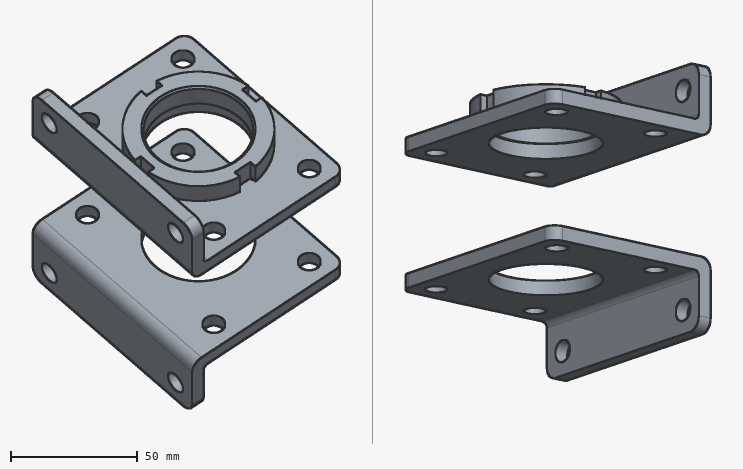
import cadquery as cq

width = 96.0
plate_depth = 80.0
flange_height = 30.0
thickness = 6.0
total_height = 110.0
bend_outer_radius = 5.0
bend_inner_radius = 2.2
plate_corner_radius = 5.0
flange_corner_radius = 5.5

bolt_diameter = 9.0
bolt_spacing_x = 76.0
plate_bolt_front_y = 20.0
plate_bolt_back_y = 70.0
flange_bolt_edge_distance = 10.0
bore_center_y = (plate_bolt_front_y + plate_bolt_back_y) / 2
plate_bore_diameter = 45.1

ring_diameter = 60.1
ring_bore_diameter = 43.3
ring_height = 9.7
bore_chamfer = (plate_bore_diameter - ring_bore_diameter) / 2
foot_diameter = 56.0
foot_height = 0.8
slot_width = 8.0
slot_floor_distance = 26.6
slot_count = 4

plate_underside_z = total_height / 2 - flange_height
plate_top_z = plate_underside_z + thickness


def make_bracket():
    """Upper bracket: front face on Y = 0, flange rising from the plate."""
    bracket = (
        cq.Workplane("YZ")
        .polyline([
            (0, 0),
            (plate_depth, 0),
            (plate_depth, thickness),
            (thickness, thickness),
            (thickness, flange_height),
            (0, flange_height),
        ])
        .close()
        .extrude(width / 2, both=True)
    )

    bracket = bracket.edges("|X and <Y and <Z").fillet(bend_outer_radius)
    inner_bend = cq.selectors.NearestToPointSelector((0, thickness, thickness))
    bracket = bracket.edges(inner_bend).fillet(bend_inner_radius)

    bracket = bracket.edges("|Z and >Y").fillet(plate_corner_radius)
    bracket = bracket.edges("|Y and >Z").fillet(flange_corner_radius)

    bolt_x = bolt_spacing_x / 2
    plate_bolts = (
        cq.Workplane("XY")
        .pushPoints([(x, y) for x in (-bolt_x, bolt_x) for y in (plate_bolt_front_y, plate_bolt_back_y)])
        .circle(bolt_diameter / 2)
        .extrude(thickness)
    )
    plate_bore = (
        cq.Workplane("XY")
        .center(0, bore_center_y)
        .circle(plate_bore_diameter / 2)
        .extrude(thickness)
    )
    flange_bolt_z = flange_height - flange_bolt_edge_distance
    flange_bolts = (
        cq.Workplane("XZ")
        .pushPoints([(-bolt_x, flange_bolt_z), (bolt_x, flange_bolt_z)])
        .circle(bolt_diameter / 2)
        .extrude(-thickness)
    )
    bracket = bracket.cut(plate_bolts).cut(plate_bore).cut(flange_bolts)
    return bracket.translate((0, 0, plate_underside_z))


def make_ring_nut():
    """Ring resting on the upper plate, with key slots around its rim."""
    ring = (
        cq.Workplane("XY")
        .circle(foot_diameter / 2)
        .extrude(foot_height)
        .faces(">Z")
        .workplane()
        .circle(ring_diameter / 2)
        .extrude(ring_height - foot_height)
    )
    bore = cq.Workplane("XY").circle(ring_bore_diameter / 2).extrude(ring_height)
    ring = ring.cut(bore)
    bore_rim = cq.selectors.RadiusNthSelector(0)
    ring = ring.faces(">Z").edges(bore_rim).chamfer(bore_chamfer)

    slot_length = ring_diameter / 2
    slot = (
        cq.Workplane("XY")
        .center(slot_floor_distance + slot_length / 2, 0)
        .rect(slot_length, slot_width)
        .extrude(ring_height)
    )
    for index in range(slot_count):
        ring = ring.cut(slot.rotate((0, 0, 0), (0, 0, 1), index * 360 / slot_count))
    return ring.translate((0, bore_center_y, plate_top_z))


upper_bracket = make_bracket()
brackets = [upper_bracket, upper_bracket.mirror("XY")]
ring_nut = make_ring_nut()

result = cq.Compound.makeCompound([*[bracket.val() for bracket in brackets], ring_nut.val()])